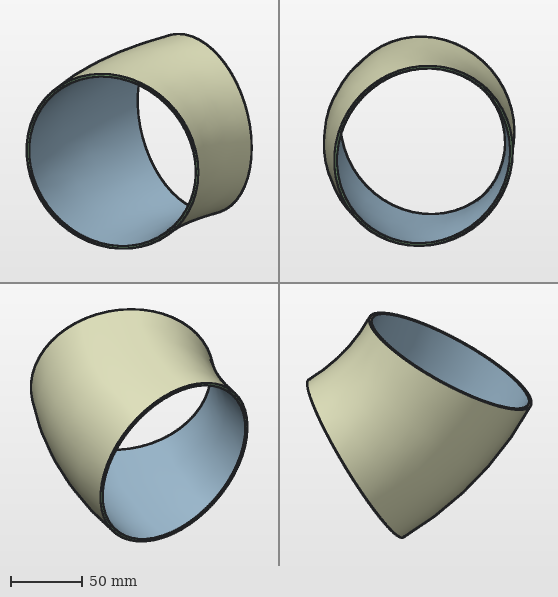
import cadquery as cq
import math

overall_width = 145.5
overall_depth = 126.0
wall = 2.0
bend_angle = 30.0

bend_rad = math.radians(bend_angle)
long_side_radius = overall_depth / math.sin(bend_rad)
short_side_radius = (long_side_radius - overall_width) / math.cos(bend_rad)

pipe_radius = (long_side_radius - short_side_radius) / 2
bend_radius = (long_side_radius + short_side_radius) / 2

result = (
    cq.Workplane("XZ")
    .circle(pipe_radius)
    .circle(pipe_radius - wall)
    .revolve(bend_angle, (bend_radius, 0, 0), (bend_radius, -1, 0))
)